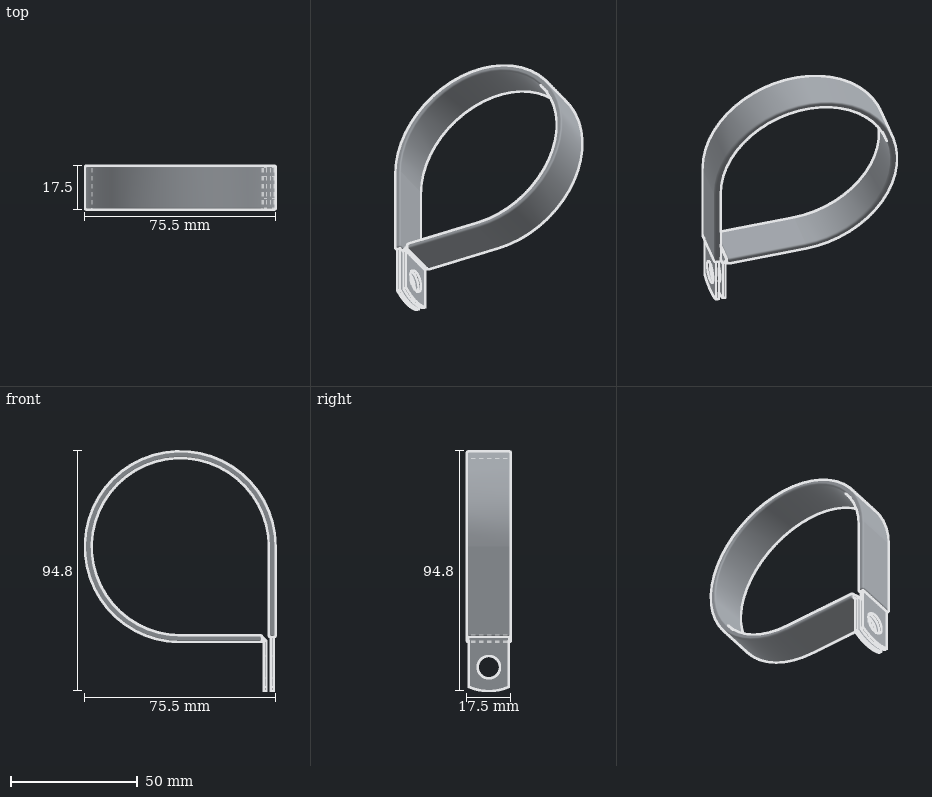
import cadquery as cq
import math

bore_radius = 34.925
strap_thickness = 1.219
strap_width = 15.875
cushion_thickness = 0.79375

upright_cushion_end_z = -35.7
base_cushion_end_x = 32.3
tab_gap = 1.5875
tab_tip_z = -57.08
tab_tip_bulge = 1.68
bend_outer_setback = 1.62
hole_diameter = 8.73
hole_to_tip = 9.5

strap_inner_radius = bore_radius + cushion_thickness
strap_outer_radius = strap_inner_radius + strap_thickness
cushion_outer_radius = strap_outer_radius + cushion_thickness
mid_radius = (bore_radius + cushion_outer_radius) / 2
cushion_width = strap_width + 2 * cushion_thickness
base_tab_outer_x = strap_inner_radius - tab_gap
base_tab_inner_x = base_tab_outer_x - strap_thickness
bend_inner_setback = bend_outer_setback - strap_thickness * (2 - math.sqrt(2))
tab_corner_z = tab_tip_z + tab_tip_bulge
hole_z = tab_tip_z + hole_to_tip


def loop_band(inner_radius, outer_radius, width, upright_end_z, base_end_points):
    """Three-quarter ring with an upright leg at +X and a base leg at -Z.

    base_end_points finish the base leg, going from its upper face round to its lower face.
    """
    inner_diagonal = inner_radius * math.sqrt(0.5)
    outer_diagonal = outer_radius * math.sqrt(0.5)
    outline = (
        cq.Workplane("XZ")
        .moveTo(inner_radius, upright_end_z)
        .lineTo(inner_radius, 0)
        .threePointArc((-inner_diagonal, inner_diagonal), (0, -inner_radius))
    )
    for x, z in base_end_points:
        outline = outline.lineTo(x, z)
    return (
        outline.lineTo(0, -outer_radius)
        .threePointArc((-outer_diagonal, outer_diagonal), (outer_radius, 0))
        .lineTo(outer_radius, upright_end_z)
        .close()
        .extrude(width / 2, both=True)
    )


def cushion():
    """Cushion around the looped part of the strap, with all its outside edges rounded."""
    base_end_points = [
        (base_cushion_end_x, -bore_radius),
        (base_cushion_end_x, -cushion_outer_radius),
    ]
    band = loop_band(
        bore_radius, cushion_outer_radius, cushion_width, upright_cushion_end_z, base_end_points
    )
    rounded_edges = band.faces("<Y or >Y").edges()
    for end_center in (
        (mid_radius, 0, upright_cushion_end_z),
        (base_cushion_end_x, 0, -mid_radius),
    ):
        end_face = band.faces(cq.selectors.NearestToPointSelector(end_center))
        rounded_edges = rounded_edges.add(end_face.edges("|Y"))
    return band.newObject(rounded_edges.vals()).fillet(cushion_thickness)


def square_strap():
    """Metal strap: the upright leg runs on as one tab, the base leg bends down into the other."""
    bent_tab_points = [
        (base_tab_outer_x - bend_outer_setback, -strap_inner_radius),
        (base_tab_outer_x, -strap_inner_radius - bend_outer_setback),
        (base_tab_outer_x, tab_tip_z),
        (base_tab_inner_x, tab_tip_z),
        (base_tab_inner_x, -strap_outer_radius - bend_inner_setback),
        (base_tab_inner_x - bend_inner_setback, -strap_outer_radius),
    ]
    return loop_band(
        strap_inner_radius, strap_outer_radius, strap_width, tab_tip_z, bent_tab_points
    )


def strap_silhouette():
    """Solid along X with the strap's side outline: curved tab tips and the bolt hole."""
    half_width = strap_width / 2
    outline = (
        cq.Workplane("YZ")
        .moveTo(-half_width, strap_outer_radius)
        .lineTo(-half_width, tab_corner_z)
        .threePointArc((0, tab_tip_z), (half_width, tab_corner_z))
        .lineTo(half_width, strap_outer_radius)
        .close()
        .extrude(strap_outer_radius, both=True)
    )
    hole = (
        cq.Workplane("YZ")
        .center(0, hole_z)
        .circle(hole_diameter / 2)
        .extrude(strap_outer_radius, both=True)
    )
    return outline.cut(hole)


strap = square_strap().intersect(strap_silhouette())
result = cushion().union(strap).solids()